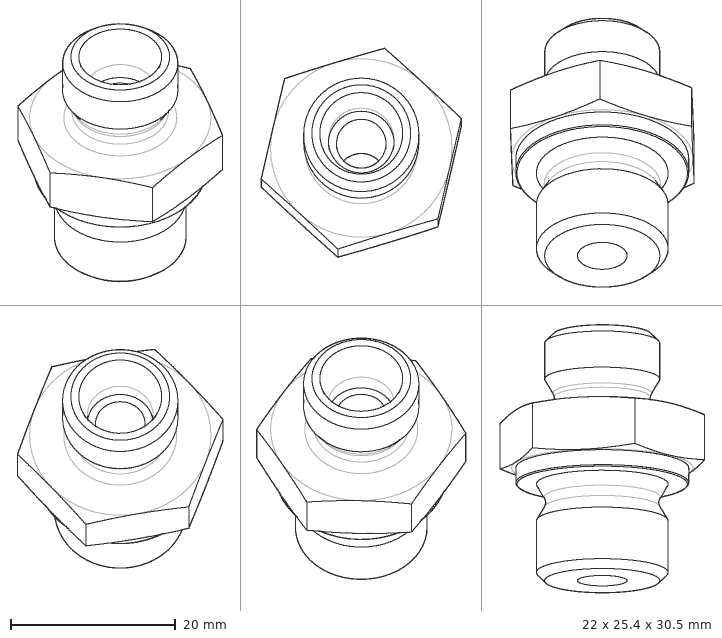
import cadquery as cq
import math

TOTAL_HEIGHT = 30.5
COLLAR_BOTTOM = 12.0
HEX_BOTTOM = 14.0
HEX_TOP = 20.5
LOWER_STUD_TOP = 7.4
UPPER_STUD_BOTTOM = 25.0

LOWER_STUD_DIAMETER = 16.0
UPPER_STUD_DIAMETER = 14.0
NECK_DIAMETER = 11.7
COLLAR_DIAMETER = 21.0
BORE_DIAMETER = 6.0
SOCKET_DIAMETER = 8.0
SOCKET_MOUTH_DIAMETER = 10.05

ACROSS_FLATS = 22.02
HEX_CHAMFER_ANGLE = math.radians(15)
RELIEF_ANGLE = math.radians(30)
SOCKET_CONE_ANGLE = math.radians(12)
END_CHAMFER = 1.0
COLLAR_CHAMFER = 0.15
NECK_FILLET = 1.0
LOWER_GROOVE_RADIUS = 1.28
SOCKET_DEPTH = 7.0


def revolve_profile(profile):
    """Turn a closed (radius, height) profile about the Z axis."""
    return profile.close().revolve(360, (0, 0, 0), (0, 1, 0))


def make_lower_stud():
    """Stud with a rounded V groove under the collar."""
    radius = LOWER_STUD_DIAMETER / 2
    middle = (LOWER_STUD_TOP + COLLAR_BOTTOM) / 2
    arc_half_height = LOWER_GROOVE_RADIUS * math.sin(RELIEF_ANGLE)
    flank_height = middle - arc_half_height - LOWER_STUD_TOP
    arc_end_radius = radius - flank_height * math.tan(RELIEF_ANGLE)
    root_radius = arc_end_radius - LOWER_GROOVE_RADIUS * (1 - math.cos(RELIEF_ANGLE))
    return revolve_profile(
        cq.Workplane("XZ")
        .lineTo(radius - END_CHAMFER, 0)
        .lineTo(radius, END_CHAMFER)
        .lineTo(radius, LOWER_STUD_TOP)
        .lineTo(arc_end_radius, middle - arc_half_height)
        .threePointArc((root_radius, middle), (arc_end_radius, middle + arc_half_height))
        .lineTo(radius, COLLAR_BOTTOM)
        .lineTo(0, COLLAR_BOTTOM)
    )


def make_collar():
    """Round sealing collar with a broken lower edge."""
    return (
        cq.Workplane("XY", origin=(0, 0, COLLAR_BOTTOM))
        .circle(COLLAR_DIAMETER / 2)
        .extrude(HEX_BOTTOM - COLLAR_BOTTOM)
        .faces("<Z")
        .chamfer(COLLAR_CHAMFER)
    )


def make_hex():
    """Hexagon with corners on the Y axis, both ends turned to a shallow cone."""
    flat_radius = ACROSS_FLATS / 2
    corner_radius = flat_radius / math.cos(math.radians(30))
    corner_drop = (corner_radius - flat_radius) * math.tan(HEX_CHAMFER_ANGLE)
    prism = (
        cq.Workplane("XY", origin=(0, 0, HEX_BOTTOM))
        .polygon(6, 2 * corner_radius)
        .extrude(HEX_TOP - HEX_BOTTOM)
        .rotate((0, 0, 0), (0, 0, 1), 30)
    )
    turned_envelope = revolve_profile(
        cq.Workplane("XZ")
        .moveTo(0, HEX_BOTTOM)
        .lineTo(flat_radius, HEX_BOTTOM)
        .lineTo(corner_radius, HEX_BOTTOM + corner_drop)
        .lineTo(corner_radius, HEX_TOP - corner_drop)
        .lineTo(flat_radius, HEX_TOP)
        .lineTo(0, HEX_TOP)
    )
    return prism.intersect(turned_envelope)


def make_upper_stud():
    """Neck filleted into the hexagon, then a flank out to the chamfered stud."""
    radius = UPPER_STUD_DIAMETER / 2
    neck_radius = NECK_DIAMETER / 2
    flank_bottom = UPPER_STUD_BOTTOM - (radius - neck_radius) / math.tan(RELIEF_ANGLE)

    tangent_length = NECK_FILLET * math.tan(RELIEF_ANGLE / 2)
    blend_start = flank_bottom - tangent_length

    def blend_point(angle):
        return (
            neck_radius + NECK_FILLET * (1 - math.cos(angle)),
            blend_start + NECK_FILLET * math.sin(angle),
        )

    fillet_offset = NECK_FILLET * (1 - math.sqrt(0.5))
    return revolve_profile(
        cq.Workplane("XZ")
        .moveTo(0, HEX_TOP)
        .lineTo(neck_radius + NECK_FILLET, HEX_TOP)
        .threePointArc(
            (neck_radius + fillet_offset, HEX_TOP + fillet_offset),
            (neck_radius, HEX_TOP + NECK_FILLET),
        )
        .lineTo(neck_radius, blend_start)
        .threePointArc(blend_point(RELIEF_ANGLE / 2), blend_point(RELIEF_ANGLE))
        .lineTo(radius, UPPER_STUD_BOTTOM)
        .lineTo(radius, TOTAL_HEIGHT - END_CHAMFER)
        .lineTo(radius - END_CHAMFER, TOTAL_HEIGHT)
        .lineTo(0, TOTAL_HEIGHT)
    )


def make_bore():
    """Through bore, tube socket and conical socket mouth."""
    bore_radius = BORE_DIAMETER / 2
    socket_radius = SOCKET_DIAMETER / 2
    mouth_radius = SOCKET_MOUTH_DIAMETER / 2
    cone_depth = (mouth_radius - socket_radius) / math.tan(SOCKET_CONE_ANGLE)
    return revolve_profile(
        cq.Workplane("XZ")
        .lineTo(bore_radius, 0)
        .lineTo(bore_radius, TOTAL_HEIGHT - SOCKET_DEPTH)
        .lineTo(socket_radius, TOTAL_HEIGHT - SOCKET_DEPTH)
        .lineTo(socket_radius, TOTAL_HEIGHT - cone_depth)
        .lineTo(mouth_radius, TOTAL_HEIGHT)
        .lineTo(0, TOTAL_HEIGHT)
    )


body = make_lower_stud().union(make_collar()).union(make_hex()).union(make_upper_stud())
result = body.cut(make_bore())